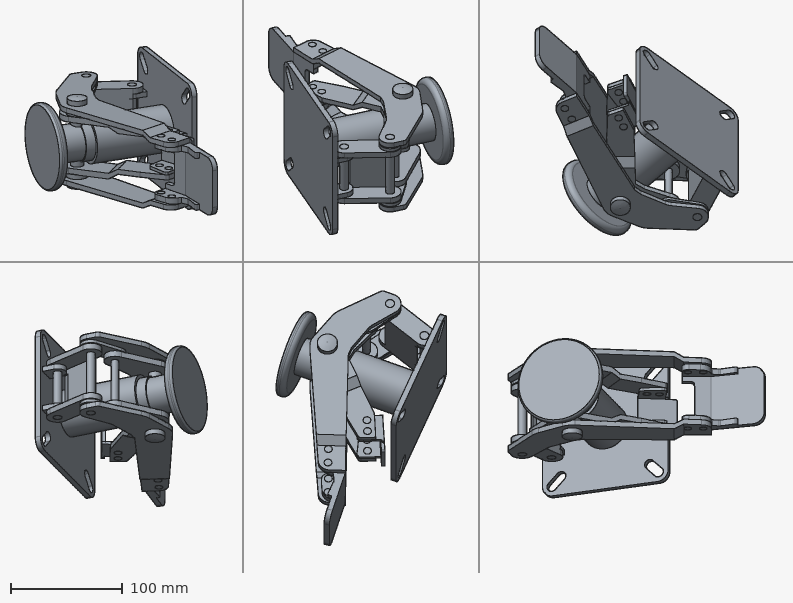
import cadquery as cq
import math


plate_side = 120.0
plate_thickness = 5.0
plate_corner_radius = 10.0
slot_width = 9.2
slot_inner = 42.3
slot_outer = 50.9

tube_diameter = 43.0
tube_end = -80.5
collar_diameter = 37
collar_end = -90.0
rod_diameter = 34.5
foot_diameter = 80.0
foot_top = -116.0
foot_bottom = -125.0
foot_top_round = 5.0
foot_band_end = -122.8
foot_face_diameter = 76.8

lever_inner = 22.0
lever_outer = 27.5
connector_inner = 28.2
connector_outer = 31.2
arm_inner = 32.4
arm_outer = 37.2
lever_end_inner = 17.0
lever_end_outer = lever_inner

bracket_pivot = (-47.0, -16.2)
toggle_pivot = (-60.8, -55.0)
lever_pivot = (-38.5, -68.7)
main_pivot = (0, -90.9)
boss_diameter = 20.0
pin_diameter = 8.0
small_pin_diameter = 7.0
pin_head_height = 0.2

overall_length = 231.2
left_end = toggle_pivot[0] - boss_diameter / 2

ear_inner = 17.0
ear_width = 16.2

web_thickness = 2.0
web_length = 38.5
web_relief_radius = 9.5

stub_diameter = 12.0
head_diameter = 18.0
head_height = 4.9
dome_height = 1.5
dome_tip_diameter = 0.32

arm_outline = [
    (left_end, -35.8, boss_diameter / 2),
    (left_end, -66.4, 4.6),
    (-33.8, -97.4, 22.0),
    (2.0, -107.5, 16.2),
    (118.5, -51.0, 10.0),
    (110.3, -29.0, 0),
    (1.6, -70.0, 0),
    (-5.8, -70.0, 0),
    (-32.4, -63.0, 13.9),
]
lever_outline = [
    (-44.6, -76.3, 0),
    (-3.2, -109.5, 12.5),
    (52.0, -52.5, 0),
    (69.1, -32.4, 2.8),
    (63.1, -18.5, 0),
    (40.7, -29.0, 0),
    (0.5, -70.0, 0),
    (-9.2, -69.1, 0),
    (-34.5, -60.0, 0),
]
arm_bend = (79.0, -41.0)
arm_bend_angle = 20
arm_bend_length = 8.5
lever_bend = (13.0, -56.7)
lever_bend_angle = 47
lever_bend_length = 8.8

pedal_thickness = 5.0
pedal_start = (85.5, -38.5)
pedal_fold = (110.3, -29.0)
tongue_rise = math.radians(5.5)
pedal_reach = left_end + overall_length - pedal_thickness * math.sin(tongue_rise) - pedal_fold[0]
pedal_tip = (pedal_fold[0] + pedal_reach, pedal_fold[1] + pedal_reach * math.tan(tongue_rise))
pedal_corner_radius = 10.0
pedal_notch_half_width = 17.0
pedal_notch_depth = 11.3
pedal_notch_radius = 3.5
pedal_ear_outline = [
    (85.5, -38.5, 0),
    (93.5, -59.2, 5.8),
    (114.5, -49.3, 10.5),
    (114.2, -39.0, 0),
    (120.5, -35.4, 2.3),
    (136.7, -35.4, 1.6),
    (136.7, -29.0, 0),
    (110.3, -29.1, 0),
]
pedal_rivets = [(95.7, -51.0), (108.7, -46.2)]

release_thickness = 3.2
release_start = (37.2, -22.2)
release_tip = (69.4, -7.0)
release_corner_radius = 2.0
release_ear_inner = 14.3
release_ear_outline = [
    (37.2, -22.2, 0),
    (46.2, -41.5, 3.5),
    (66.8, -35.4, 3.5),
    (69.0, -32.1, 0),
    (61.0, -14.3, 0),
    (62.5, -10.6, 0),
]
release_rivets = [(50.0, -32.4), (60.1, -27.7)]


def layer(bottom):
    return cq.Workplane("XY").workplane(offset=bottom)


def rounded_prism(workplane, corners, height, both=False):
    """Prism on a workplane over a polygon with a rounding arc at each corner."""
    arcs = []
    for index, (x, y, radius) in enumerate(corners):
        before = corners[index - 1]
        after = corners[(index + 1) % len(corners)]
        corner = cq.Vector(x, y)
        to_before = (cq.Vector(before[0], before[1]) - corner).normalized()
        to_after = (cq.Vector(after[0], after[1]) - corner).normalized()
        half_angle = to_before.getAngle(to_after) / 2
        setback = radius / math.tan(half_angle)
        bisector = (to_before + to_after).normalized()
        middle = corner + bisector * (radius / math.sin(half_angle) - radius)
        arcs.append((corner + to_before * setback, middle, corner + to_after * setback, radius))
    first_end = arcs[0][2]
    outline = workplane.moveTo(first_end.x, first_end.y)
    for start, middle, end, radius in arcs[1:] + arcs[:1]:
        outline = outline.lineTo(start.x, start.y)
        if radius:
            outline = outline.threePointArc((middle.x, middle.y), (end.x, end.y))
    return outline.close().extrude(height, both=both)


def disc(center, diameter, bottom, top):
    return layer(bottom).center(*center).circle(diameter / 2).extrude(top - bottom)


def bar(start, end, width, bottom, top):
    """Flat bar with round ends centred on two points."""
    length = math.dist(start, end)
    angle = math.degrees(math.atan2(end[1] - start[1], end[0] - start[0]))
    middle = ((start[0] + end[0]) / 2, (start[1] + end[1]) / 2)
    shape = layer(bottom).center(*middle).slot2D(length + width, width, angle)
    return shape.extrude(top - bottom)


def cross_pin(center, diameter, top):
    """Pin across the whole linkage."""
    return disc(center, diameter, -top, top)


def bend_section(start, angle, length, base, end):
    """Slab whose level steps from the base range to the end range past the start point."""
    reach = 231.2
    across = cq.Vector(math.cos(math.radians(angle)), math.sin(math.radians(angle)))
    plane = cq.Plane(origin=start + (0,), xDir=across.toTuple(), normal=(across.y, -across.x, 0))
    section = cq.Workplane(plane).polyline([
        (-reach, base[0]),
        (0, base[0]),
        (length, end[0]),
        (reach, end[0]),
        (reach, end[1]),
        (length, end[1]),
        (0, base[1]),
        (-reach, base[1]),
    ])
    return section.close().extrude(reach, both=True)


def mounting_plate():
    plate = (
        cq.Workplane("XZ")
        .rect(plate_side, plate_side)
        .extrude(plate_thickness)
        .edges("|Y")
        .fillet(plate_corner_radius)
    )
    slot_middle = (slot_inner + slot_outer) / 2
    slot_length = (slot_outer - slot_inner) * math.sqrt(2) + slot_width
    for side_x in (-1, 1):
        for side_z in (-1, 1):
            slot = (
                cq.Workplane("XZ")
                .center(side_x * slot_middle, side_z * slot_middle)
                .slot2D(slot_length, slot_width, 45 * side_x * side_z)
                .extrude(plate_thickness)
            )
            plate = plate.cut(slot)
    return plate


def column():
    tube = cq.Workplane("XZ").circle(tube_diameter / 2).extrude(-tube_end)
    collar = cq.Workplane("XZ").circle(collar_diameter / 2).extrude(-collar_end)
    rod = cq.Workplane("XZ").circle(rod_diameter / 2).extrude(-foot_top)
    return tube.union(collar).union(rod)


def foot():
    radius = foot_diameter / 2
    round_middle = foot_top_round * (1 - math.sqrt(0.5))
    profile = (
        cq.Workplane("XY")
        .moveTo(0, foot_top)
        .lineTo(radius - foot_top_round, foot_top)
        .threePointArc(
            (radius - round_middle, foot_top - round_middle),
            (radius, foot_top - foot_top_round),
        )
        .lineTo(radius, foot_band_end)
        .tangentArcPoint((foot_face_diameter / 2, foot_bottom), relative=False)
        .lineTo(0, foot_bottom)
        .close()
    )
    return profile.revolve(360, (0, 0), (0, 1))


def bracket_ear():
    x, y = bracket_pivot
    strap = (
        layer(ear_inner)
        .center(x, y / 2)
        .rect(ear_width, -y)
        .extrude(lever_inner - ear_inner)
    )
    return strap.union(disc(bracket_pivot, ear_width, ear_inner, lever_inner))


def link_web():
    """Cross plate along the column side of the links, hollowed round the bracket pin."""
    angle = math.degrees(
        math.atan2(toggle_pivot[1] - bracket_pivot[1], toggle_pivot[0] - bracket_pivot[0])
    )
    plane = cq.Plane(origin=bracket_pivot + (-lever_inner,), normal=(0, 0, 1)).rotated((0, 0, angle))
    web = (
        cq.Workplane(plane)
        .center(0, boss_diameter / 2)
        .rect(web_length, -web_thickness, centered=False)
        .extrude(2 * lever_inner)
    )
    return web.cut(cross_pin(bracket_pivot, 2 * web_relief_radius, ear_inner))


def main_arm():
    arm = rounded_prism(layer(lever_outer), arm_outline, arm_outer - lever_outer)
    end = (lever_outer, lever_outer + arm_outer - arm_inner)
    return arm.intersect(
        bend_section(arm_bend, arm_bend_angle, arm_bend_length, (arm_inner, arm_outer), end)
    )


def release_lever():
    lever = rounded_prism(layer(lever_end_inner), lever_outline, lever_outer - lever_end_inner)
    lever = lever.intersect(
        bend_section(
            lever_bend,
            lever_bend_angle,
            lever_bend_length,
            (lever_inner, lever_outer),
            (lever_end_inner, lever_end_outer),
        )
    )
    return lever.union(disc(lever_pivot, boss_diameter, lever_inner, lever_outer))


def main_pivot_pin():
    """Stub from the rod, spacer between lever and arm, and domed head outside the arm."""
    stub = disc(main_pivot, stub_diameter, 0, arm_outer)
    spacer = disc(main_pivot, boss_diameter, lever_outer, arm_inner)
    rim = head_diameter / 2
    tip = dome_tip_diameter / 2
    head_top = arm_outer + head_height
    head = (
        cq.Workplane("XZ", origin=main_pivot + (0,))
        .moveTo(0, arm_outer)
        .lineTo(rim, arm_outer)
        .lineTo(rim, head_top)
        .threePointArc((rim / 2, head_top + dome_height * 3 / 4), (tip, head_top + dome_height))
        .lineTo(0, head_top + dome_height)
        .close()
        .revolve(360, (0, 0), (0, 1))
    )
    return stub.union(spacer).union(head)


def direction(start, end):
    return (cq.Vector(*end) - cq.Vector(*start)).normalized()


def sheet_plane(start, end):
    """Workplane on a sheet, with local x running from start to end and local y along Z."""
    along = direction(start, end)
    return cq.Workplane(
        cq.Plane(origin=start + (0,), xDir=along.toTuple(), normal=(along.y, -along.x, 0))
    )


def tip_outline(length, half_width, corner_radius):
    """Corners of a sheet end with two rounded corners, reaching back past the sheet's start."""
    return [
        (-length, -half_width, 0),
        (length, -half_width, corner_radius),
        (length, half_width, corner_radius),
        (-length, half_width, 0),
    ]


def foot_pedal():
    """Bent sheet with a notch between its two ears."""
    base = direction(pedal_start, pedal_fold)
    tongue = direction(pedal_fold, pedal_tip)
    half_turn = base.getAngle(tongue) / 2
    fold_normal = (base + tongue).normalized()
    normals = [base, fold_normal, tongue]
    depths = [pedal_thickness, pedal_thickness / math.cos(half_turn), pedal_thickness]
    top_edge = [pedal_start, pedal_fold, pedal_tip]
    bottom_edge = [
        (x + depth * along.y, y - depth * along.x)
        for (x, y), along, depth in zip(top_edge, normals, depths)
    ]
    sheet = layer(-lever_outer).polyline(top_edge + bottom_edge[::-1]).close().extrude(2 * lever_outer)
    tongue_length = math.dist(pedal_fold, pedal_tip)
    tip = tip_outline(tongue_length, lever_outer, pedal_corner_radius)
    sheet = sheet.intersect(
        rounded_prism(sheet_plane(pedal_fold, pedal_tip), tip, 2 * tongue_length, both=True)
    )
    notch = tip_outline(pedal_notch_depth, pedal_notch_half_width, pedal_notch_radius)
    sheet = sheet.cut(
        rounded_prism(sheet_plane(pedal_start, pedal_fold), notch, 2 * pedal_thickness, both=True)
    )
    return sheet


def release_pedal():
    """Flat sheet between the two ears, running on past them as a tongue."""
    length = math.dist(release_start, release_tip)
    tip = tip_outline(length, release_ear_inner, release_corner_radius)
    tip[0] = (0, -release_ear_inner, 0)
    tip[-1] = (0, release_ear_inner, 0)
    return rounded_prism(sheet_plane(release_start, release_tip), tip, release_thickness)


def pedal_ear(outline, inner, outer):
    return rounded_prism(layer(inner), outline, outer - inner)


def side_parts():
    """Everything that is repeated on both sides of the XY plane."""
    parts = [
        bracket_ear(),
        bar(bracket_pivot, toggle_pivot, boss_diameter, lever_inner, lever_outer),
        bar(toggle_pivot, lever_pivot, boss_diameter, connector_inner, connector_outer),
        release_lever(),
        main_arm(),
        main_pivot_pin(),
        pedal_ear(pedal_ear_outline, lever_inner, lever_outer),
        pedal_ear(release_ear_outline, release_ear_inner, lever_end_inner),
    ]
    pedal_rivet_bottom = lever_inner - pin_head_height
    pedal_rivet_top = lever_outer + arm_outer - arm_inner + pin_head_height
    for center in pedal_rivets:
        parts.append(disc(center, small_pin_diameter, pedal_rivet_bottom, pedal_rivet_top))
    for center in release_rivets:
        parts.append(
            disc(
                center,
                small_pin_diameter,
                release_ear_inner - pin_head_height,
                lever_end_outer + pin_head_height,
            )
        )
    return parts


result = mounting_plate().union(column()).union(foot()).union(link_web())
result = result.union(foot_pedal()).union(release_pedal())
result = result.union(cross_pin(bracket_pivot, pin_diameter, lever_outer + pin_head_height))
result = result.union(cross_pin(toggle_pivot, pin_diameter, arm_outer + pin_head_height))
result = result.union(cross_pin(lever_pivot, small_pin_diameter, connector_outer))
for part in side_parts():
    result = result.union(part).union(part.mirror("XY"))